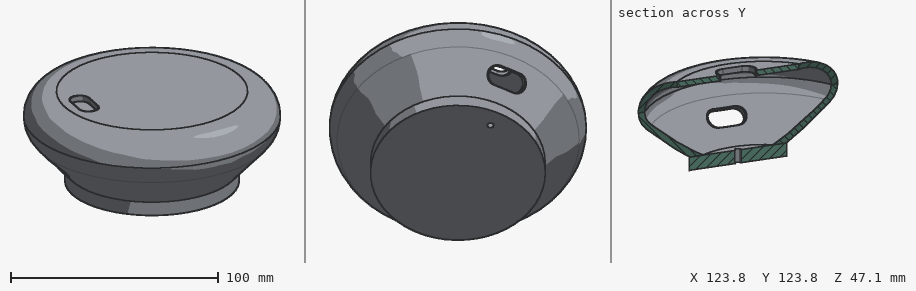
import cadquery as cq
import math

outer_radius = 61.9
total_height = 47.1
base_radius = 42.1
base_height = 7.0
rim_radius = 13.4
wall = 3.0

lid_radius = 46.0
slot_length = 20.5
slot_width = 10.1
liner_slot_length = 19.0
liner_slot_width = 9.7
lid_slot_offset = 35.9
port_height = 16.5
drain_diameter = 3.0
drain_offset = 33.5

rim_center_r = outer_radius - rim_radius
rim_center_z = total_height - rim_radius
inner_rim_radius = rim_radius - wall

lid_edge_angle = -math.acos((lid_radius - rim_center_r) / rim_radius)
inner_edge_angle = -math.acos((lid_radius - rim_center_r) / inner_rim_radius)
lid_top = rim_center_z + rim_radius * math.sin(-lid_edge_angle)
lid_bottom = rim_center_z + inner_rim_radius * math.sin(-inner_edge_angle)

base_to_rim_r = rim_center_r - base_radius
base_to_rim_z = rim_center_z - base_height
cone_angle = math.acos(-rim_radius / math.hypot(base_to_rim_r, base_to_rim_z)) - math.atan2(
    base_to_rim_z, base_to_rim_r
)
port_radius = base_radius + (port_height - base_height) * math.tan(cone_angle)

lid_slot_plane = cq.Plane(origin=(0, -lid_slot_offset, lid_bottom))
port_plane = cq.Plane(
    origin=(0, -port_radius, port_height),
    xDir=(1, 0, 0),
    normal=(0, -math.cos(cone_angle), -math.sin(cone_angle)),
)


def rim_point(radius, angle):
    """Point of the rim section; the angle is measured downward from horizontal."""
    return (rim_center_r + radius * math.cos(angle), rim_center_z - radius * math.sin(angle))


def revolve(profile):
    """Turn a closed radius-height profile about the Z axis."""
    return profile.close().revolve(360, (0, 0, 0), (0, 1, 0))


def lid_slot(length, width):
    """Slot-shaped prism through the lid."""
    return cq.Workplane(lid_slot_plane).slot2D(length, width).extrude(lid_top - lid_bottom)


def port_slot(length, width):
    """Slot-shaped prism through the conical wall, square to it."""
    return cq.Workplane(port_plane).slot2D(length, width).extrude(2 * wall, both=True)


def make_base():
    """Solid foot with a small drain hole."""
    drain = cq.Workplane("XY").center(0, -drain_offset).circle(drain_diameter / 2).extrude(base_height)
    return cq.Workplane("XY").circle(base_radius).extrude(base_height).cut(drain)


def make_lower_shell():
    """Conical wall that runs smoothly into the lower part of the rim, without its port."""
    half_angle = cone_angle / 2
    return revolve(
        cq.Workplane("XZ")
        .moveTo(base_radius, base_height)
        .lineTo(*rim_point(rim_radius, cone_angle))
        .threePointArc(rim_point(rim_radius, half_angle), rim_point(rim_radius, 0))
        .lineTo(*rim_point(inner_rim_radius, 0))
        .threePointArc(rim_point(inner_rim_radius, half_angle), rim_point(inner_rim_radius, cone_angle))
        .lineTo(base_radius - wall / math.cos(cone_angle), base_height)
    )


def make_crown():
    """Upper part of the rim, from its widest circle to the lid opening."""
    return revolve(
        cq.Workplane("XZ")
        .moveTo(*rim_point(rim_radius, lid_edge_angle))
        .threePointArc(rim_point(rim_radius, lid_edge_angle / 2), rim_point(rim_radius, 0))
        .lineTo(*rim_point(inner_rim_radius, 0))
        .threePointArc(
            rim_point(inner_rim_radius, inner_edge_angle / 2),
            rim_point(inner_rim_radius, inner_edge_angle),
        )
    )


def make_lid():
    """Flat disc that closes the crown, with a slot near the front."""
    disc = cq.Workplane("XY", origin=(0, 0, lid_bottom)).circle(lid_radius).extrude(lid_top - lid_bottom)
    return disc.cut(lid_slot(slot_length, slot_width))


def make_lid_liner():
    """Thin sleeve in the lid slot, flush with both faces of the lid."""
    return lid_slot(slot_length, slot_width).cut(lid_slot(liner_slot_length, liner_slot_width))


def make_port_liner(wall_shell):
    """Thin sleeve in the port, flush with both faces of the conical wall."""
    sleeve = port_slot(slot_length, slot_width).cut(port_slot(liner_slot_length, liner_slot_width))
    return sleeve.intersect(wall_shell)


base = make_base()
uncut_shell = make_lower_shell()
lower_shell = uncut_shell.cut(port_slot(slot_length, slot_width))
crown = make_crown()
lid = make_lid()
lid_liner = make_lid_liner()
port_liner = make_port_liner(uncut_shell)

result = cq.Compound.makeCompound(
    [
        base.val(),
        lower_shell.val(),
        crown.val(),
        lid.val(),
        lid_liner.val(),
        *port_liner.solids().vals(),
    ]
)